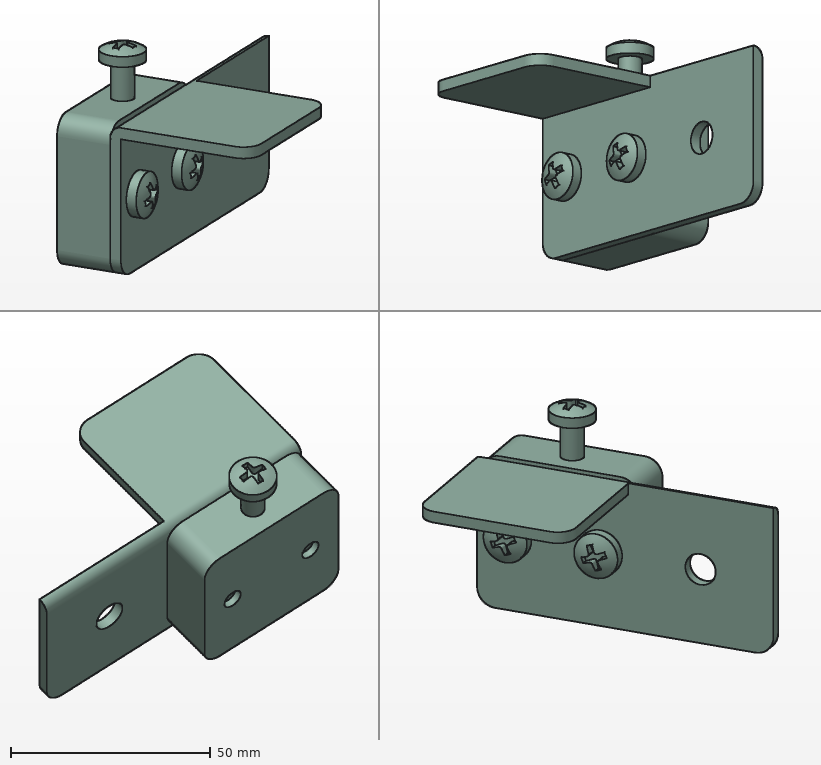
import cadquery as cq

block_depth = 15.0
block_width = 42.95
block_height = 40.0
corner_radius = 5.0

sheet = 3.0
bracket_length = 81.5
flange_end_x = 55.0
flange_width = 41.65
free_hole_diameter = 8.3
free_hole_from_end = 20.05

head_diameter = 12.0
head_height = 4.6
head_rim_height = 2.8
shank_diameter = 6.0
shank_length = 16.0
recess_span = 6.85
recess_arm_width = 1.6
recess_depth = 2.85
recess_corner_radius = 0.65

back_screw_spacing = 24.9
back_screw_turn = 21.0
top_screw_turn = -3.0
top_screw_exposed = 10.0
tip_opening_diameter = 5.2

block_mid_x = block_depth / 2
block_mid_y = block_width / 2
block_mid_z = block_height / 2
plate_outer_x = block_depth + sheet
head_radius = head_diameter / 2
dome_rise = head_height - head_rim_height
dome_radius = (head_radius**2 + dome_rise**2) / (2 * dome_rise)
back_screw_ys = [block_mid_y - back_screw_spacing / 2, block_mid_y + back_screw_spacing / 2]


def cylinder_along_x(diameter, start_x, end_x, y):
    """Cylinder parallel to X at the middle height of the block."""
    return (
        cq.Workplane("YZ", origin=(start_x, y, block_mid_z))
        .circle(diameter / 2)
        .extrude(end_x - start_x)
    )


def make_block():
    block = (
        cq.Workplane("XY")
        .box(block_depth, block_width, block_height, centered=False)
        .edges("|X")
        .fillet(corner_radius)
    )
    for y in back_screw_ys:
        block = block.cut(cylinder_along_x(shank_diameter, plate_outer_x - shank_length, block_depth, y))
        block = block.cut(cylinder_along_x(tip_opening_diameter, 0, block_depth, y))
    top_hole_depth = shank_length - top_screw_exposed
    top_hole = (
        cq.Workplane("XY", origin=(block_mid_x, block_mid_y, block_height))
        .circle(shank_diameter / 2)
        .extrude(-top_hole_depth)
    )
    return block.cut(top_hole)


def make_bracket():
    upright = (
        cq.Workplane("XZ", origin=(block_depth, 0, 0))
        .lineTo(sheet, 0)
        .lineTo(sheet, block_height)
        .radiusArc((0, block_height - sheet), -sheet)
        .close()
        .extrude(-bracket_length)
        .edges("|X and <Z")
        .fillet(corner_radius)
    )
    flange = (
        cq.Workplane("XY", origin=(plate_outer_x, 0, block_height - sheet))
        .box(flange_end_x - plate_outer_x, flange_width, sheet, centered=False)
        .edges("|Z and >X")
        .fillet(corner_radius)
    )
    bracket = upright.union(flange)
    for y in back_screw_ys:
        bracket = bracket.cut(cylinder_along_x(shank_diameter, block_depth, plate_outer_x, y))
    free_hole_y = bracket_length - free_hole_from_end
    return bracket.cut(cylinder_along_x(free_hole_diameter, block_depth, plate_outer_x, free_hole_y))


def make_cross_recess():
    """Cross-shaped cutter whose floor is a spherical dish, deepest on the screw axis."""
    cross = (
        cq.Workplane("XY")
        .rect(recess_span, recess_arm_width)
        .extrude(head_height)
        .union(cq.Workplane("XY").rect(recess_arm_width, recess_span).extrude(head_height))
    )
    corner_zone = cq.selectors.BoxSelector(
        (-recess_arm_width, -recess_arm_width, 0),
        (recess_arm_width, recess_arm_width, head_height),
    )
    cross = cross.edges(corner_zone).edges("|Z").fillet(recess_corner_radius)
    floor_sphere = cq.Workplane("XY").sphere(dome_radius)
    floor_center_z = head_height - recess_depth + dome_radius
    return cross.intersect(floor_sphere.translate((0, 0, floor_center_z)))


def make_screw(turn):
    """Screw along Z with the underside of its head on Z = 0, turned about its axis."""
    dome_mid_r = head_radius / 2
    dome_mid_z = head_height - dome_radius + (dome_radius**2 - dome_mid_r**2) ** 0.5
    screw = (
        cq.Workplane("XZ")
        .moveTo(0, -shank_length)
        .lineTo(shank_diameter / 2, -shank_length)
        .lineTo(shank_diameter / 2, 0)
        .lineTo(head_radius, 0)
        .lineTo(head_radius, head_rim_height)
        .threePointArc((dome_mid_r, dome_mid_z), (0, head_height))
        .close()
        .revolve(360, (0, 0, 0), (0, 1, 0))
        .cut(make_cross_recess())
    )
    return screw.rotate((0, 0, 0), (0, 0, 1), turn)


def make_back_screw(y):
    screw = make_screw(back_screw_turn).rotate((0, 0, 0), (0, 1, 0), 90)
    return screw.translate((plate_outer_x, y, block_mid_z))


def make_top_screw():
    seat_z = block_height + top_screw_exposed
    return make_screw(top_screw_turn).translate((block_mid_x, block_mid_y, seat_z))


block = make_block()
bracket = make_bracket()
top_screw = make_top_screw()
back_screws = [make_back_screw(y) for y in back_screw_ys]

result = cq.Compound.makeCompound(
    [block.val(), bracket.val(), top_screw.val(), *[screw.val() for screw in back_screws]]
)